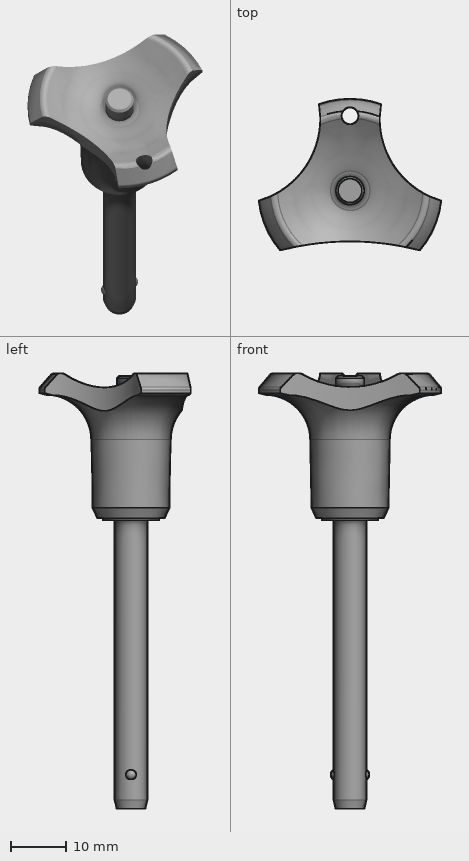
import cadquery as cq
import math


shank_radius = 3.0
shank_length = 52.1
tip_radius = 2.6
tip_height = 1.7

ball_radius = 1.0
ball_reach = 3.5
ball_height_above_tip = 6.2

handle_height = 26.6
lip_radius = 5.1
lip_height = 0.4
base_radius = 6.1
barrel_bottom_radius = 6.97
barrel_bottom_z = 2.3
barrel_top_radius = 7.22
barrel_top_z = 14.65
flare_radius = 8.0

rim_radius = 16.6
rim_land_bottom_depth = 3.6
rim_land_top_depth = 3.0
rim_round_depth = 2.5
rim_round_inset = 0.2
crown_outer_radius = 14.4
crown_inner_radius = 13.1
crown_drop = 0.2

dish_radius = 22.0
dish_floor_radius = 3.55
button_radius = 2.55
button_drop = 0.5
button_chamfer = 0.4

side_scoop_radius = 15.3
side_scoop_x = 20.7
side_scoop_y = 12.9
front_scoop_radius = 50.0
front_scoop_edge = 9.2
hole_radius = 1.5
hole_y = 13.5


def dish_z(radius):
    """Height of the spherical dish surface at a given distance from the axis."""
    def sag(r):
        return dish_radius - math.sqrt(dish_radius**2 - r**2)

    return handle_height - crown_drop - sag(crown_inner_radius) + sag(radius)


def make_handle_blank():
    """Revolved handle before the scoops are cut, drawn on the -X side of the axis."""
    diagonal = math.sqrt(0.5)
    flare_end_radius = barrel_top_radius + flare_radius
    flare_end_z = barrel_top_z + flare_radius
    flare_middle_radius = flare_end_radius - flare_radius * diagonal
    flare_middle_z = barrel_top_z + flare_radius * diagonal
    rim_round_end_radius = rim_radius - rim_round_inset
    crown_z = handle_height - crown_drop
    crown_middle_radius = (crown_outer_radius + crown_inner_radius) / 2
    dish_middle_radius = (crown_inner_radius + dish_floor_radius) / 2
    floor_z = dish_z(dish_floor_radius)

    profile = (
        cq.Workplane("XZ")
        .moveTo(0, 0)
        .lineTo(-lip_radius, 0)
        .lineTo(-lip_radius, lip_height)
        .lineTo(-base_radius, lip_height)
        .lineTo(-barrel_bottom_radius, barrel_bottom_z)
        .lineTo(-barrel_top_radius, barrel_top_z)
        .threePointArc((-flare_middle_radius, flare_middle_z), (-flare_end_radius, flare_end_z))
        .lineTo(-rim_radius, handle_height - rim_land_bottom_depth)
        .lineTo(-rim_radius, handle_height - rim_land_top_depth)
        .tangentArcPoint((-rim_round_end_radius, handle_height - rim_round_depth), relative=False)
        .lineTo(-crown_outer_radius, crown_z)
        .threePointArc((-crown_middle_radius, handle_height), (-crown_inner_radius, crown_z))
        .threePointArc((-dish_middle_radius, dish_z(dish_middle_radius)), (-dish_floor_radius, floor_z))
        .lineTo(0, floor_z)
        .close()
    )
    return profile.revolve(360, (0, 0, 0), (0, 1, 0))


def make_scoop(x, y, radius):
    """Upright cylinder that hollows the handle between two lobes."""
    return cq.Workplane("XY").center(x, y).circle(radius).extrude(handle_height)


def make_handle():
    """Handle with two mirrored side scoops, a shallow front scoop and the lanyard hole."""
    handle = make_handle_blank()
    for side in (-1, 1):
        handle = handle.cut(make_scoop(side * side_scoop_x, side_scoop_y, side_scoop_radius))
    handle = handle.cut(make_scoop(0, -front_scoop_edge - front_scoop_radius, front_scoop_radius))
    return handle.cut(make_scoop(0, hole_y, hole_radius))


def make_button():
    """Release button standing on the dish floor."""
    top_z = handle_height - button_drop
    button = cq.Workplane("XY").circle(button_radius).extrude(top_z)
    return button.faces(">Z").chamfer(button_chamfer)


def make_shank():
    """Shank with a tapered tip, drawn on the -X side of the axis."""
    profile = (
        cq.Workplane("XZ")
        .moveTo(0, -shank_length)
        .lineTo(-tip_radius, -shank_length)
        .lineTo(-shank_radius, tip_height - shank_length)
        .lineTo(-shank_radius, lip_height)
        .lineTo(0, lip_height)
        .close()
    )
    return profile.revolve(360, (0, 0, 0), (0, 1, 0))


def make_ball(side):
    """Locking ball protruding from one side of the shank."""
    centre = (side * (ball_reach - ball_radius), 0, ball_height_above_tip - shank_length)
    return cq.Workplane("XY").sphere(ball_radius).translate(centre)


result = make_handle().union(make_button()).union(make_shank())
for side in (-1, 1):
    result = result.union(make_ball(side))